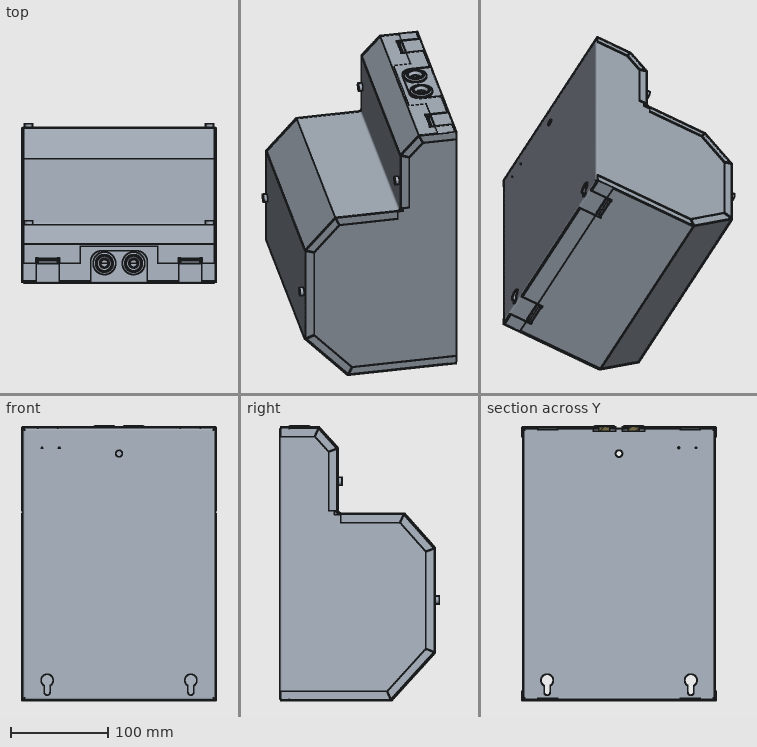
import cadquery as cq
import math


WIDTH = 200.2
DEPTH = 164.0
HEIGHT = 282.7
SHEET = 1.0

grommet_rise = 1.0
screw_rise = 4.0
cover_top = HEIGHT - grommet_rise
cover_front = DEPTH - screw_rise
upper_front = 60.2
shelf_z = 193.0
top_slope_y = 40.5
upper_slope_z = 259.8
shelf_slope_y = 128.0
lower_slope_top_z = 157.2
lower_slope_bottom_z = 49.8
bottom_slope_y = 114.8

cover_bend = 2.0
tray_bend = 2.5
inside_corner_bend = 2.3
flange_width = 10.0
mitre_gap = 0.5
side_clearance = 0.15
flange_inner_x = WIDTH / 2 - SHEET
side_x = flange_inner_x - side_clearance
tray_bottom = SHEET
tray_top = cover_top - SHEET

tray_flange = 20.4
tray_tongue_width = 79.7
tray_tongue_end = 38.2
hook_x = 73.2
hook_opening_width = 24.0
hook_opening_end = 26.0
hook_ramp_top = 24.5
hook_ramp_bottom = 23.0
hook_width = 20.4
hook_overlap = 0.5
corner_relief_y = 3.7
corner_relief_z = 1.7

grommet_x = 15.0
grommet_radius = 11.5
grommet_rim_radius = 9.0
grommet_mouth_radius = 7.5
grommet_bore_radius = 4.0
grommet_funnel_radius = 4.8
grommet_funnel_depth = 3.5
grommet_length = 5.7
grommet_notch_width = 58.2
grommet_notch_end = 33.4

screw_radius = 4.2
screw_x = 93.0
upper_screw_z = 225.5
lower_screw_z = 103.8
keyhole_x = 73.8
keyhole_z = 21.2
keyhole_radius = 6.2
keyhole_slot_width = 6.0
keyhole_slot_end_z = 6.0
mount_hole_z = 254.1
mount_hole_radius = 3.5
pin_hole_z = 260.0
pin_holes = [(-79.2, 0.35), (-61.3, 0.5)]

upper_corners = [(top_slope_y, cover_top), (upper_front, upper_slope_z)]
lower_corners = [
    (shelf_slope_y, shelf_z),
    (cover_front, lower_slope_top_z),
    (cover_front, lower_slope_bottom_z),
    (bottom_slope_y, 0),
]
inside_corner = (upper_front, shelf_z)
outline = [(0, 0), (0, cover_top)] + upper_corners + [inside_corner] + lower_corners


def box(x_range, y_range, z_range):
    """Box between the given limits along each axis."""
    size = [high - low for low, high in (x_range, y_range, z_range)]
    corner = (x_range[0], y_range[0], z_range[0])
    return cq.Workplane("XY").box(*size, centered=False).translate(corner)


def profile_block(inset, width):
    """Housing profile moved inwards by the inset and extruded symmetrically along X."""
    sketch = cq.Workplane("YZ").polyline(outline).close()
    if inset:
        sketch = sketch.offset2D(-inset, "intersection")
    block = sketch.extrude(width / 2, both=True)
    corner_y, corner_z = (value - inset for value in inside_corner)
    near = cq.selectors.BoxSelector(
        (-WIDTH, corner_y - SHEET / 2, corner_z - SHEET / 2),
        (WIDTH, corner_y + SHEET / 2, corner_z + SHEET / 2),
    )
    return block.edges("|X").edges(near).fillet(inside_corner_bend + inset)


def both_sides(shape):
    """The shape together with its mirror image across X = 0."""
    return shape.union(shape.mirror("YZ"))


def mirrored_top_and_bottom(shape):
    """The shape together with its mirror image across the mid-height of the cover."""
    return shape.union(shape.mirror("XY", (0, 0, cover_top / 2)))


def round_ends(block, radius):
    """Round the bends along both X ends of a profile block."""
    return block.faces("<X or >X").edges().fillet(radius)


def mitre_slits():
    """Narrow gaps between neighbouring side flanges, along the corner bisectors."""
    slits = None
    for index, (y, z) in enumerate(outline):
        if (y, z) not in upper_corners + lower_corners:
            continue
        before = outline[index - 1]
        after = outline[(index + 1) % len(outline)]
        to_before = math.atan2(before[1] - z, before[0] - y)
        to_after = math.atan2(after[1] - z, after[0] - y)
        opening = (to_after - to_before) % (2 * math.pi)
        bisector = to_before + opening / 2
        length = flange_width / math.sin(opening / 2)
        slit = (
            cq.Workplane("YZ", origin=(flange_inner_x, 0, 0))
            .rect(2 * length, mitre_gap)
            .extrude(SHEET)
            .rotate((0, 0, 0), (1, 0, 0), math.degrees(bisector))
            .translate((0, y, z))
        )
        slits = slit if slits is None else slits.union(slit)
    return both_sides(slits)


def make_cover():
    """Folded cover with side flanges, open at the rear."""
    cover = round_ends(profile_block(0, WIDTH), cover_bend)
    cavity = round_ends(profile_block(SHEET, WIDTH - 2 * SHEET), cover_bend - SHEET)
    side_window = profile_block(flange_width, 2 * WIDTH)
    rear_slot = box((-WIDTH, WIDTH), (0, flange_width), (flange_width, cover_top - flange_width))
    rear_mouth = box((-flange_inner_x, flange_inner_x), (0, flange_width), (tray_bottom, tray_top))
    rear_trim = box((-WIDTH, WIDTH), (-SHEET, SHEET), (-SHEET, HEIGHT))
    cover = cover.cut(cavity).cut(side_window).cut(rear_slot).cut(rear_mouth).cut(rear_trim)
    flange_break = box(
        (flange_inner_x, WIDTH),
        (upper_front - flange_width, upper_front + inside_corner_bend),
        (shelf_z - flange_width, shelf_z + inside_corner_bend),
    )
    hook_opening = box(
        (hook_x - hook_opening_width / 2, hook_x + hook_opening_width / 2),
        (0, hook_opening_end),
        (tray_top, cover_top),
    )
    cover = cover.cut(both_sides(flange_break)).cut(mitre_slits())
    cover = cover.cut(both_sides(mirrored_top_and_bottom(hook_opening)))
    cover = cover.union(both_sides(mirrored_top_and_bottom(hook_tab())))
    return cover.cut(grommet_notch())


def hook_tab():
    """Cover tab that steps down through the opening and reaches under the tray flange."""
    flange_underside = tray_top - SHEET
    tab_end = tray_flange - hook_overlap
    section = [
        (hook_opening_end, cover_top),
        (hook_ramp_top, cover_top),
        (hook_ramp_bottom, flange_underside),
        (tab_end, flange_underside),
        (tab_end, flange_underside - SHEET),
        (hook_ramp_bottom + SHEET, flange_underside - SHEET),
        (hook_ramp_top + SHEET, tray_top),
        (hook_opening_end, tray_top),
    ]
    tab = cq.Workplane("YZ", origin=(hook_x, 0, 0)).polyline(section).close()
    return tab.extrude(hook_width / 2, both=True)


def grommet_notch():
    """Opening in the top of the cover around both grommets, rounded towards the front."""
    half_width = grommet_notch_width / 2
    notch = box((-half_width, half_width), (0, grommet_notch_end), (tray_top, cover_top))
    return notch.edges("|Z and >Y").fillet(grommet_radius)


def make_tray():
    """Back panel with full sides and short top and bottom flanges."""
    tray = profile_block(SHEET, 2 * side_x).union(
        box((-side_x, side_x), (0, flange_width), (tray_bottom, tray_top))
    )
    tray = tray.faces("<Y").edges().fillet(tray_bend)
    inner_x = side_x - SHEET
    cavity = box(
        (-inner_x, inner_x), (SHEET, cover_front), (tray_bottom + SHEET, tray_top - SHEET)
    ).faces("<Y").edges().fillet(tray_bend - SHEET)
    front_opening = box((-inner_x, inner_x), (tray_flange, DEPTH), (0, HEIGHT))
    corner_relief = box(
        (inner_x, WIDTH),
        (upper_front - corner_relief_y, upper_front + inside_corner_bend),
        (shelf_z - corner_relief_z, shelf_z + inside_corner_bend),
    )
    tray = tray.cut(cavity).cut(front_opening).cut(both_sides(corner_relief))
    tongue = box(
        (-tray_tongue_width / 2, tray_tongue_width / 2),
        (tray_flange, tray_tongue_end),
        (tray_top - SHEET, tray_top),
    )
    return tray.union(tongue)


def grommets():
    """Round cable grommets with a funnel mouth."""
    half_section = [
        (grommet_bore_radius, HEIGHT - grommet_length),
        (grommet_radius, HEIGHT - grommet_length),
        (grommet_radius, cover_top),
        (grommet_rim_radius, HEIGHT),
        (grommet_mouth_radius, HEIGHT),
        (grommet_funnel_radius, HEIGHT - grommet_funnel_depth),
        (grommet_bore_radius, HEIGHT - grommet_funnel_depth),
    ]
    grommet = cq.Workplane("XZ").polyline(half_section).close().revolve(360, (0, 0), (0, 1))
    return both_sides(grommet.translate((grommet_x, tray_flange, 0)))


def grommet_holes():
    """Holes through the tray flange that seat the grommets."""
    return (
        cq.Workplane("XY", origin=(0, tray_flange, HEIGHT - grommet_length))
        .pushPoints([(-grommet_x, 0), (grommet_x, 0)])
        .circle(grommet_radius)
        .extrude(grommet_length)
    )


def screw_heads(face_y, z):
    """Pair of cylindrical screw heads on a front face of the cover."""
    return (
        cq.Workplane("XZ", origin=(0, face_y, z))
        .pushPoints([(-screw_x, 0), (screw_x, 0)])
        .circle(screw_radius)
        .extrude(-screw_rise)
    )


def back_panel_holes():
    """Keyholes for hanging, a mounting hole and two pin holes."""
    plane = cq.Workplane("XZ")
    slot_radius = keyhole_slot_width / 2
    slot_center_z = keyhole_slot_end_z + slot_radius
    heads = plane.pushPoints([(-keyhole_x, keyhole_z), (keyhole_x, keyhole_z)])
    holes = heads.circle(keyhole_radius).extrude(-SHEET)
    slot_length = keyhole_z - slot_center_z
    slot_middle_z = (keyhole_z + slot_center_z) / 2
    slots = plane.pushPoints([(-keyhole_x, slot_middle_z), (keyhole_x, slot_middle_z)])
    holes = holes.union(slots.slot2D(slot_length + 2 * slot_radius, keyhole_slot_width, 90).extrude(-SHEET))
    holes = holes.union(plane.center(0, mount_hole_z).circle(mount_hole_radius).extrude(-SHEET))
    for x, radius in pin_holes:
        holes = holes.union(plane.center(x, pin_hole_z).circle(radius).extrude(-SHEET))
    return holes


tray = make_tray().cut(back_panel_holes()).cut(grommet_holes())
result = make_cover().union(tray).union(grommets())
result = result.union(screw_heads(upper_front, upper_screw_z))
result = result.union(screw_heads(cover_front, lower_screw_z))